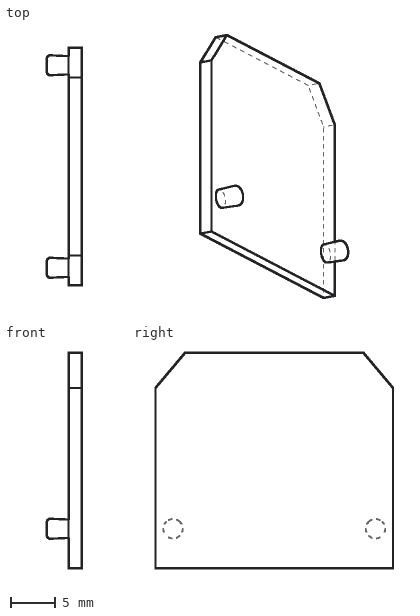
import cadquery as cq
import math

plate_thickness = 1.5
plate_width = 27.0
plate_height = 24.5
corner_drop = 4.0
corner_inset = 3.37

pin_length = 2.49
pin_root_radius = 1.06
pin_draft_angle = 2.5
pin_tip_fillet = 0.43
pin_edge_distance = 2.0
pin_height = 4.5

half_width = plate_width / 2
pin_tip_radius = pin_root_radius + pin_length * math.tan(math.radians(pin_draft_angle))


def make_plate():
    """Flat plate with both upper corners cut off, from X = 0 to its thickness."""
    outline = [
        (-half_width, 0),
        (half_width, 0),
        (half_width, plate_height - corner_drop),
        (half_width - corner_inset, plate_height),
        (-half_width + corner_inset, plate_height),
        (-half_width, plate_height - corner_drop),
    ]
    return cq.Workplane("YZ").polyline(outline).close().extrude(plate_thickness)


def make_pin(y):
    """Pin with a rounded tip, tapering toward its root on the plate."""
    cone = cq.Solid.makeCone(
        pin_root_radius,
        pin_tip_radius,
        pin_length,
        pnt=cq.Vector(0, y, pin_height),
        dir=cq.Vector(-1, 0, 0),
    )
    return cq.Workplane(cone).faces("<X").edges().fillet(pin_tip_fillet)


result = make_plate()
for side in (-1, 1):
    result = result.union(make_pin(side * (half_width - pin_edge_distance)))